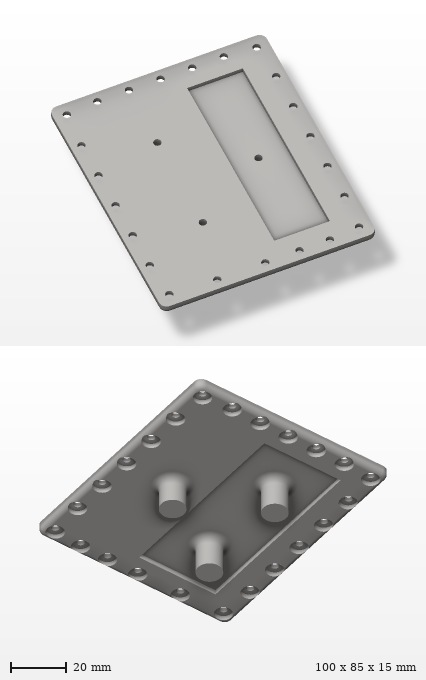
import cadquery as cq
import math

plate_length = 100
plate_width = 85
plate_thickness = 4
corner_radius = 3
bottom_edge_radius = 2

pocket_length = 76.5
pocket_width = 22
pocket_depth = 2
pocket_y = 18

overall_height = 15
boss_diameter = 10
center_boss_y = pocket_y
side_boss_x = 20
side_boss_y = -13
boss_fillet = 3

recess_length = pocket_length
recess_depth = 2
pocket_wall = 2
recess_y_max = pocket_y - pocket_width / 2 - pocket_wall
recess_y_min = -(pocket_y + pocket_width / 2)

hole_diameter = 3
boss_hole_depth = 10
counterbore_diameter = 7
counterbore_depth = 2
corner_hole_x = 45
corner_hole_y = 37.5
end_row_y = 38.5
end_row_pitch = 15
side_row_x = 46
left_row_pitch = 12.5
right_row_ys = [25.5, 13.5, 0, -19]

row_steps = range(-2, 3)


def make_plate():
    """Rounded rectangular plate with its lower outer edge rounded."""
    plate = (
        cq.Workplane("XY")
        .rect(plate_length, plate_width)
        .extrude(-plate_thickness)
        .edges("|Z")
        .fillet(corner_radius)
    )
    return plate.faces("<Z").edges().fillet(bottom_edge_radius)


def make_recess():
    """Rectangular block that cuts the recess into the plate underside."""
    return (
        cq.Workplane("XY", origin=(0, (recess_y_min + recess_y_max) / 2, -plate_thickness))
        .rect(recess_length, recess_y_max - recess_y_min)
        .extrude(recess_depth)
    )


def make_boss(x, y, base_z):
    """Round boss that flares out to meet the plate at base_z, as one revolved profile."""
    radius = boss_diameter / 2
    height = overall_height + base_z
    flare_offset = boss_fillet * (1 - math.sqrt(0.5))
    profile = (
        cq.Workplane("XZ")
        .moveTo(0, 0)
        .lineTo(radius + boss_fillet, 0)
        .threePointArc((radius + flare_offset, -flare_offset), (radius, -boss_fillet))
        .lineTo(radius, -height)
        .lineTo(0, -height)
        .close()
    )
    boss = profile.revolve(360, (0, 0, 0), (0, 1, 0))
    return boss.translate((x, y, base_z))


def perimeter_hole_points():
    """Centres of the through holes around the plate border."""
    points = [(sx * corner_hole_x, sy * corner_hole_y) for sx in (-1, 1) for sy in (-1, 1)]
    for side in (-1, 1):
        points += [(step * end_row_pitch, side * end_row_y) for step in row_steps]
    points += [(-side_row_x, step * left_row_pitch) for step in row_steps]
    points += [(side_row_x, y) for y in right_row_ys]
    return points


def cylinders(points, diameter, start_z, height):
    """Upright cylinders starting at start_z, used as hole cutters."""
    return (
        cq.Workplane("XY", origin=(0, 0, start_z))
        .pushPoints(points)
        .circle(diameter / 2)
        .extrude(height)
    )


side_boss_points = [(-side_boss_x, side_boss_y), (side_boss_x, side_boss_y)]
center_boss_point = (0, center_boss_y)
boss_points = [center_boss_point] + side_boss_points
border_points = perimeter_hole_points()

body = make_plate().cut(make_recess())
body = body.union(make_boss(*center_boss_point, -plate_thickness))
for boss_x, boss_y in side_boss_points:
    body = body.union(make_boss(boss_x, boss_y, recess_depth - plate_thickness))

pocket = (
    cq.Workplane("XY")
    .center(0, pocket_y)
    .rect(pocket_length, pocket_width)
    .extrude(-pocket_depth)
)
body = body.cut(pocket)

body = body.cut(cylinders(boss_points, hole_diameter, -boss_hole_depth, boss_hole_depth))
body = body.cut(cylinders(border_points, hole_diameter, -plate_thickness, plate_thickness))
body = body.cut(cylinders(border_points, counterbore_diameter, -plate_thickness, counterbore_depth))

result = body